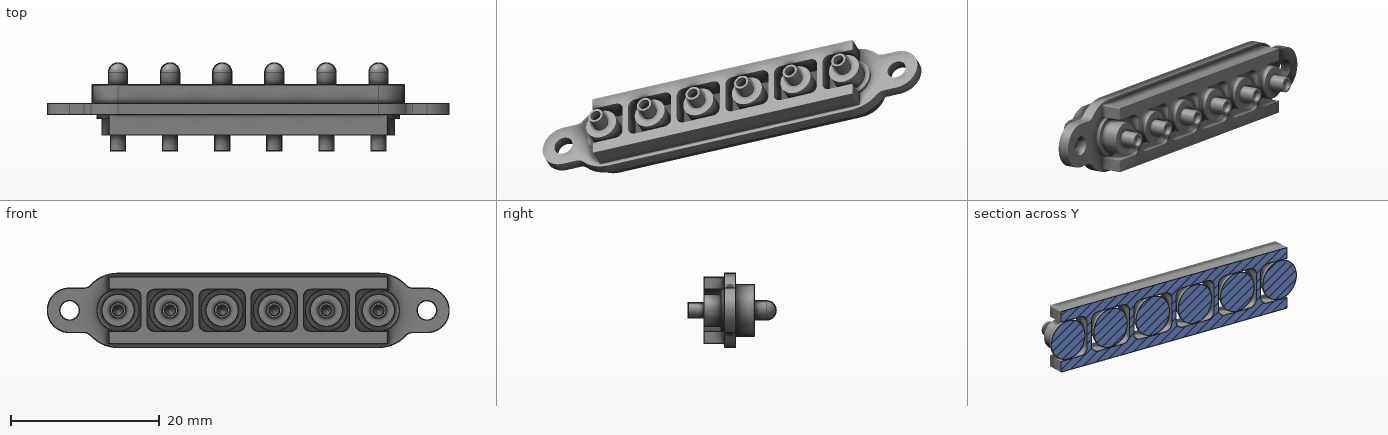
import cadquery as cq
import math


contact_count = 6
contact_span = 35.0
contact_pitch = contact_span / (contact_count - 1)
contact_places = [(i * contact_pitch - contact_span / 2, 0) for i in range(contact_count)]

overall_length = 54
flange_height = 10.0
flange_thickness = 1.5
ear_height = 6.0
ear_hole_diameter = 2.6
ear_blend_radius = 1.3

body_height = 6.95
body_depth = 2.55

frame_length = 37.5
frame_height = 8.9
frame_depth = 2.75
pocket_length = 6.2
pocket_height = 5.65
pocket_corner_radius = 1.0

edge_radius = 0.095

collar_diameter = 5.6
collar_depth = 0.5
insulator_diameter = 4.3
socket_diameter = 2.05
socket_reach = 4.85
socket_bore_diameter = 1.45
socket_bore_depth = 2.7
bore_tip_angle = 118
pin_diameter = 2.6
pin_reach = 5.45


def plane_at(y):
    """Sketch plane facing -Y, with sketch x along X and sketch y along Z."""
    return cq.Workplane("XZ", origin=(0, y, 0))


def stadium(y, height):
    """Outline with round ends centred on the two outer contacts."""
    return plane_at(y).slot2D(contact_span + height, height)


def make_flange():
    ear_radius = ear_height / 2
    ear_centre = overall_length / 2 - ear_radius
    flange = stadium(flange_thickness, flange_height).extrude(flange_thickness)
    ears = plane_at(flange_thickness).slot2D(overall_length, ear_height).extrude(flange_thickness)
    corner_x = contact_span / 2 + math.sqrt((flange_height / 2) ** 2 - ear_radius**2)
    flange = flange.union(ears)
    for side in (-1, 1):
        for edge in (-1, 1):
            corner = (side * corner_x, flange_thickness / 2, edge * ear_radius)
            flange = flange.edges(cq.NearestToPointSelector(corner)).fillet(ear_blend_radius)
    ear_holes = (
        plane_at(flange_thickness)
        .pushPoints([(-ear_centre, 0), (ear_centre, 0)])
        .circle(ear_hole_diameter / 2)
        .extrude(flange_thickness)
    )
    return flange.cut(ear_holes)


def make_body():
    body = stadium(flange_thickness + body_depth, body_height).extrude(body_depth)
    return body.faces(">Y").edges().fillet(edge_radius)


def make_frame():
    frame = plane_at(0).rect(frame_length, frame_height).extrude(frame_depth)
    pockets = (
        plane_at(0)
        .pushPoints(contact_places)
        .rect(pocket_length, pocket_height)
        .extrude(frame_depth)
        .edges("|Y")
        .fillet(pocket_corner_radius)
    )
    opening_length = overall_length - contact_span
    end_openings = (
        plane_at(0)
        .pushPoints([(-overall_length / 2, 0), (overall_length / 2, 0)])
        .rect(opening_length, pocket_height)
        .extrude(frame_depth)
    )
    frame = frame.cut(pockets).cut(end_openings)
    return frame.edges("(|Y and (>Z or <Z)) or (<Y and (<X or >X))").fillet(edge_radius)


def join_to_flange(flange, block, foot):
    """Join a block to the flange and round the inner corner all around its foot."""
    joined = flange.union(block)
    foot_points = [edge.positionAt(0.5).toTuple() for edge in block.faces(foot).edges().vals()]
    corners = [joined.edges(cq.NearestToPointSelector(point)).val() for point in foot_points]
    return joined.newObject(corners).fillet(edge_radius)


def contact_cylinders(diameter, start, length):
    """A cylinder at every contact, running from Y = start toward -Y."""
    return plane_at(start).pushPoints(contact_places).circle(diameter / 2).extrude(length)


def make_insulators():
    collars = contact_cylinders(collar_diameter, 0, collar_depth)
    return collars.union(contact_cylinders(insulator_diameter, 0, frame_depth))


def make_pins():
    """Pins on the rear side with hemispherical tips."""
    dome_radius = pin_diameter / 2
    dome_y = flange_thickness + pin_reach - dome_radius
    pins = contact_cylinders(pin_diameter, dome_y, dome_y - flange_thickness)
    domes = plane_at(dome_y).pushPoints(contact_places).sphere(dome_radius)
    return pins.union(domes)


def make_socket_bores():
    """Drilled holes with a conical bottom."""
    bore_radius = socket_bore_diameter / 2
    tip_depth = bore_radius / math.tan(math.radians(bore_tip_angle / 2))
    bottom_y = socket_bore_depth - socket_reach
    profile = [
        (0, -socket_reach),
        (bore_radius, -socket_reach),
        (bore_radius, bottom_y),
        (0, bottom_y + tip_depth),
    ]
    bore = cq.Workplane("XY").polyline(profile).close().revolve(360, (0, 0, 0), (0, 1, 0))
    bores = cq.Workplane("XY")
    for x, z in contact_places:
        bores = bores.union(bore.translate((x, 0, z)))
    return bores


result = join_to_flange(make_flange(), make_frame(), foot=">Y")
result = join_to_flange(result, make_body(), foot="<Y")
result = result.union(make_insulators())
result = result.union(contact_cylinders(socket_diameter, 0, socket_reach))
result = result.union(make_pins()).cut(make_socket_bores())